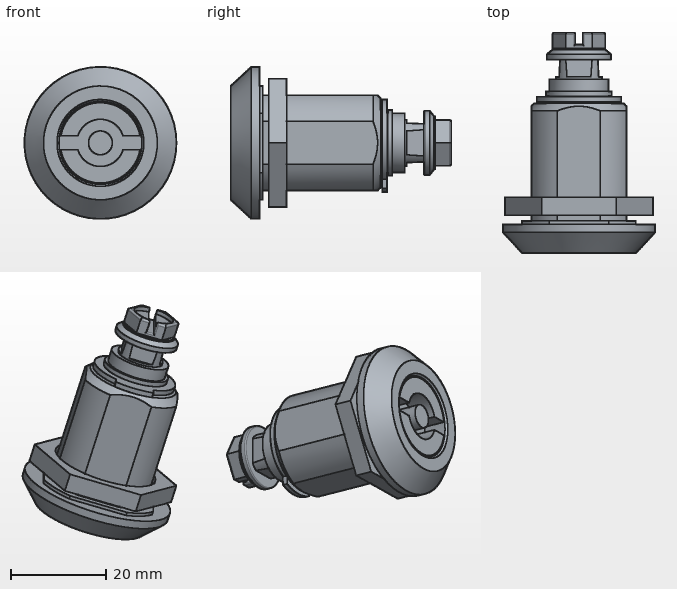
import cadquery as cq
import math


flange_radius = 16.0
flange_face_radius = 11.95
flange_cone_depth = 4.35
flange_back = 6.05
seat_across_flats = 23.9
seat_radius = 13.5
seat_back = 6.75
barrel_across_flats = 20.02
barrel_radius = 11.0
barrel_back = 31.45
barrel_chamfer = 1.58
bore_radius = 8.7
bore_mouth_radius = 9.15
bore_mouth_depth = 0.4

nut_across_flats = 26.98
nut_front = 7.95
nut_back = 11.75

head_radius = 8.45
head_front = 0.4
head_back = 7.4
key_slot_width = 2.95
key_ring_radius = 4.95
key_slot_floor = 5.5
key_pin_radius = 2.5

shaft_radius = 6.95
journal_radius = 6.25
ring_front = 31.8
ring_back = 32.85
shoulder_front = 33.0
shoulder_back = 33.97
journal_back = 36.55
ring_radius = 8.9
ring_offset = 0.25
lug_radius = 10.4
lug_width = 8.25

square_corner_radius = 4.85
square_front = 37.05
square_front_width = 8.35
square_back = 40.6
square_back_width = 8.0

washer_radius = 6.75
washer_edge_fillet = 0.25
washer_rim_back = 41.75
washer_top_radius = 5.65
washer_cone_back = 42.7
hex_across_corners = 11.12
hex_front = 43.0
hex_back = 46.35
hex_edge_fillet = 0.4
screw_slot_width = 1.55
screw_slot_floor = 43.85
screw_slot_fillet = 0.3
screw_recess_radius = 4.25
screw_recess_floor = 45.4


def plane_at(y):
    """Sketch plane across the axis: local x is X, local y is Z, and extrusion runs toward +Y."""
    return cq.Workplane(cq.Plane(origin=(0, y, 0), xDir=(-1, 0, 0), normal=(0, 1, 0)))


def disc(radius, front, back):
    return plane_at(front).circle(radius).extrude(back - front)


def turned(profile):
    """Revolve a closed (radius, y) profile about the Y axis."""
    return cq.Workplane("XY").polyline(profile).close().revolve(360, (0, 0, 0), (0, 1, 0))


def four_flats(body, across_flats, front, back):
    """Trim a round body to a square, leaving its corners round."""
    return body.intersect(plane_at(front).rect(across_flats, across_flats).extrude(back - front))


def make_housing():
    flange = turned([
        (0, 0),
        (flange_face_radius, 0),
        (flange_radius, flange_cone_depth),
        (flange_radius, flange_back),
        (0, flange_back),
    ])
    seat = four_flats(disc(seat_radius, flange_back, seat_back), seat_across_flats, flange_back, seat_back)
    round_barrel = disc(barrel_radius, seat_back, barrel_back).faces(">Y").chamfer(barrel_chamfer)
    barrel = four_flats(round_barrel, barrel_across_flats, seat_back, barrel_back)
    bore = turned([
        (0, 0),
        (bore_mouth_radius, 0),
        (bore_radius, bore_mouth_depth),
        (bore_radius, head_back),
        (shaft_radius, head_back),
        (shaft_radius, barrel_back),
        (0, barrel_back),
    ])
    return flange.union(seat).union(barrel).cut(bore)


def make_nut():
    across_corners = nut_across_flats / math.cos(math.pi / 6)
    thickness = nut_back - nut_front
    return plane_at(nut_front).polygon(6, across_corners).circle(barrel_radius).extrude(thickness)


def make_key_slot():
    """Straight slot widened by a ring, leaving a round pin standing in the middle."""
    bar = plane_at(head_front).rect(2 * head_radius, key_slot_width).extrude(key_slot_floor - head_front)
    ring = disc(key_ring_radius, head_front, key_slot_floor)
    return bar.union(ring).cut(disc(key_pin_radius, head_front, key_slot_floor))


def make_retaining_ring():
    thickness = ring_back - ring_front
    rim = plane_at(ring_front).center(0, ring_offset).circle(ring_radius).extrude(thickness)
    lug_strip = plane_at(ring_front).center(0, -lug_radius / 2).rect(lug_width, lug_radius).extrude(thickness)
    lug = disc(lug_radius, ring_front, ring_back).intersect(lug_strip)
    return rim.union(lug)


def make_cam_square():
    taper = (
        plane_at(square_front)
        .rect(square_front_width, square_front_width)
        .workplane(offset=square_back - square_front)
        .rect(square_back_width, square_back_width)
        .loft()
    )
    return taper.intersect(disc(square_corner_radius, square_front, square_back))


def make_slotted_hexagon():
    """Hexagon with a round recess in its end and a slot along Z, rounded where it opens on the flats."""
    height = hex_back - hex_front
    slot_depth = hex_back - screw_slot_floor
    across_flats = hex_across_corners * math.cos(math.pi / 6)
    hexagon = plane_at(hex_front).polygon(6, hex_across_corners).extrude(height)
    hexagon = hexagon.faces(">Y").edges().fillet(hex_edge_fillet)
    slot = plane_at(screw_slot_floor).rect(screw_slot_width, across_flats).extrude(slot_depth)
    hexagon = hexagon.cut(slot)
    around_slot = cq.selectors.BoxSelector(
        (-screw_slot_width, screw_slot_floor - screw_slot_fillet, -across_flats),
        (screw_slot_width, hex_back, across_flats),
    )
    for flat in (">Z", "<Z"):
        hexagon = hexagon.faces(flat).edges(around_slot).fillet(screw_slot_fillet)
    return hexagon.cut(disc(screw_recess_radius, screw_recess_floor, hex_back))


def make_screw_head():
    rim = disc(washer_radius, square_back, washer_rim_back).faces("<Y").edges().fillet(washer_edge_fillet)
    cone = turned([
        (0, washer_rim_back),
        (washer_radius, washer_rim_back),
        (washer_top_radius, washer_cone_back),
        (0, washer_cone_back),
    ])
    collar = disc(hex_across_corners / 2, washer_cone_back, hex_front)
    return rim.union(cone).union(collar).union(make_slotted_hexagon())


def make_core():
    head = disc(head_radius, head_front, key_slot_floor)
    core = (
        head.cut(make_key_slot())
        .union(disc(bore_radius, key_slot_floor, head_back))
        .union(disc(shaft_radius, head_back, ring_front))
        .union(disc(journal_radius, ring_front, journal_back))
        .union(disc(shaft_radius, shoulder_front, shoulder_back))
        .union(make_retaining_ring())
        .union(disc(square_corner_radius, journal_back, square_front))
        .union(make_cam_square())
    )
    return core.union(make_screw_head())


housing = make_housing()
nut = make_nut()
core = make_core()

result = cq.Compound.makeCompound([body.solids().val() for body in (housing, nut, core)])